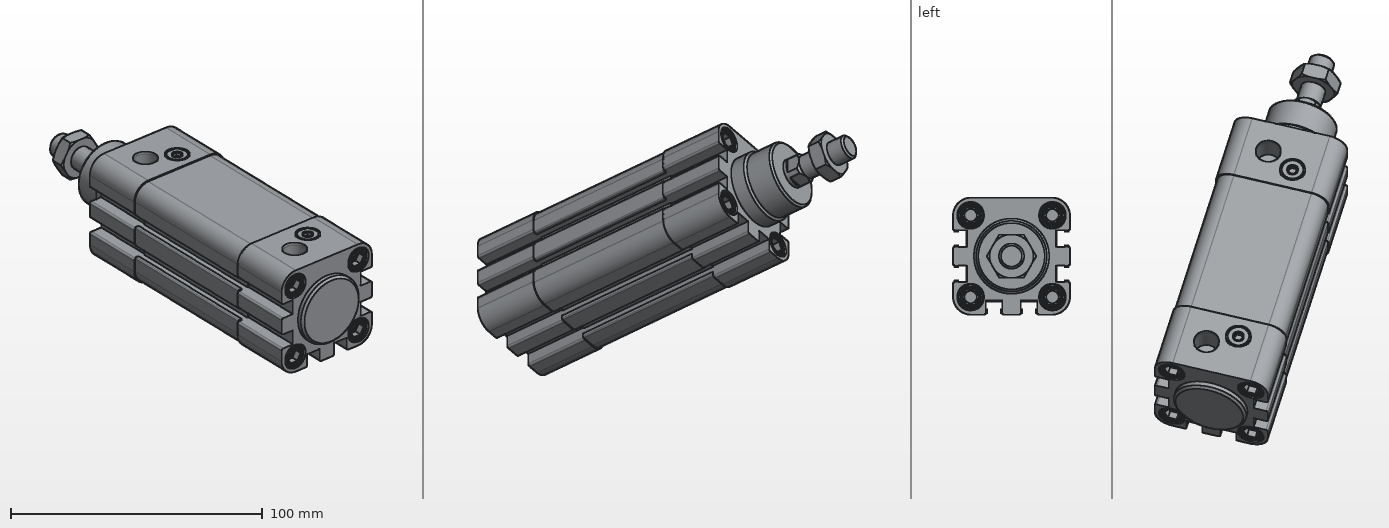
import cadquery as cq
import math


total_length = 170.0
cap_front = 47.8
cap_length = 27.5
rear_flange_length = 2.9
cap_rear = total_length - rear_flange_length
body_middle = (cap_front + cap_rear) / 2
barrel_front = cap_front + cap_length
barrel_rear = cap_rear - cap_length

cap_width = 46.5
barrel_width = 45.5
corner_radius = 7.3

groove_offset = 7.0
groove_floor = 17.5
cap_groove_width = 6.5
cap_groove_round = 0.8
slot_mouth_width = 5.3
slot_mouth_round = 0.5
slot_inner_width = 6.5
slot_lip = 1.7
slot_floor = 18.0
groove_angles = (90, 180, 270)

collar_diameter = 30.0
collar_front = 40.6
nose_diameter = 28.0
nose_front = 28.7
nose_chamfer = 0.8
collar_chamfer = (collar_diameter - nose_diameter) / 2
flange_chamfer = 1.0

bolt_pitch = 32.5
bolt_hole_diameter = 9.7
bolt_hole_mouth = 10.7
bolt_face_diameter = 8.3
bolt_socket_mouth = 7.1
bolt_socket_mouth_depth = 0.3
bolt_hex = 6.0
bolt_hex_depth = 3.4
bolt_drill_diameter = 5.0
bolt_drill_depth = 4.2
bolt_recess = 0.5

port_mouth = 10.0
port_bore = 9.7
port_mouth_depth = 0.8
port_depth = 10.2
port_from_middle = 46.4
port_y = -5.6
screw_diameter = 10.0
screw_face_diameter = 8.5
screw_socket_mouth = 4.5
screw_socket_mouth_depth = 0.3
screw_hex = 3.2
screw_hex_depth = 1.7
screw_hex_turn = 30
screw_from_middle = 40.6
screw_y = 6.0

rod_diameter = 12.0
rod_end = cap_front
thread_diameter = 10.0
thread_end = 21.6
tip_chamfer = 0.8
shoulder_chamfer = (rod_diameter - thread_diameter) / 2
wrench_width = 10.0
wrench_end = 27.2

nut_front = 7.8
nut_thickness = 6.1
nut_width = 17.0
nut_chamfer_diameter = 17.3


def hex_corner_diameter(width):
    """Diameter across the corners of a hexagon of the given width across flats."""
    return width / math.cos(math.pi / 6)


def disc(diameter, start, end):
    """Cylinder on the X axis."""
    return cq.Workplane("YZ", origin=(start, 0, 0)).circle(diameter / 2).extrude(end - start)


def rounded_bar(width, start, end):
    """Square bar along X with rounded long edges."""
    bar = cq.Workplane("YZ", origin=(start, 0, 0)).rect(width, width).extrude(end - start)
    return bar.edges("|X").fillet(corner_radius - (cap_width - width) / 2)


def groove_cutter(groove):
    """Copies of one groove on the X axis facing +Z, placed as pairs on the grooved sides."""
    cutter = cq.Workplane("XY")
    for angle in groove_angles:
        for offset in (-groove_offset, groove_offset):
            cutter = cutter.add(groove.translate((0, offset, 0)).rotate((0, 0, 0), (1, 0, 0), angle))
    return cutter.combine()


def rounded_mouth_groove(width, mouth_round, floor, surface, start, end):
    """Straight groove facing +Z whose two mouth edges are rounded."""
    half = width / 2
    bend = mouth_round * (1 - math.sqrt(0.5))
    mouth_half = half + mouth_round
    return (
        cq.Workplane("YZ", origin=(start, 0, 0))
        .moveTo(-half, floor)
        .lineTo(half, floor)
        .lineTo(half, surface - mouth_round)
        .threePointArc((half + bend, surface - bend), (mouth_half, surface))
        .lineTo(-mouth_half, surface)
        .threePointArc((-half - bend, surface - bend), (-half, surface - mouth_round))
        .close()
        .extrude(end - start)
    )


def make_barrel():
    """Barrel with slots that widen behind a lip."""
    surface = barrel_width / 2
    length = barrel_rear - barrel_front
    mouth = rounded_mouth_groove(
        slot_mouth_width, slot_mouth_round, slot_floor, surface, barrel_front, barrel_rear
    )
    undercut = cq.Workplane("XY").box(
        length, slot_inner_width, surface - slot_lip - slot_floor, centered=(False, True, False)
    )
    slot = mouth.union(undercut.translate((barrel_front, 0, slot_floor)))
    return rounded_bar(barrel_width, barrel_front, barrel_rear).cut(groove_cutter(slot))


def bolt_cutter():
    """Ring gap and hexagon socket of one bolt head, opening at X = 0 and going to +X."""
    hole_radius = bolt_hole_diameter / 2
    face_radius = bolt_face_diameter / 2
    mouth_radius = bolt_hole_mouth / 2
    mouth_depth = mouth_radius - hole_radius
    head_chamfer = hole_radius - face_radius
    recess = (
        cq.Workplane("XY")
        .moveTo(0, 0)
        .lineTo(0, mouth_radius)
        .lineTo(mouth_depth, hole_radius)
        .lineTo(bolt_recess + head_chamfer, hole_radius)
        .lineTo(bolt_recess, face_radius)
        .lineTo(bolt_recess, 0)
        .close()
        .revolve(360, (0, 0, 0), (1, 0, 0))
    )
    socket_end = bolt_recess + bolt_hex_depth
    socket = cq.Workplane("YZ").polygon(6, hex_corner_diameter(bolt_hex)).extrude(socket_end)
    drill = disc(bolt_drill_diameter, 0, bolt_recess + bolt_drill_depth)
    mouth = disc(bolt_socket_mouth, 0, bolt_recess + bolt_socket_mouth_depth)
    return recess.union(mouth).union(socket).union(drill)


def screw_cutter():
    """V groove and hexagon socket of one cushion screw, opening at Z = 0 and going down."""
    outer = screw_diameter / 2
    inner = screw_face_diameter / 2
    groove = (
        cq.Workplane("XZ")
        .moveTo(inner, 0)
        .lineTo(outer, 0)
        .lineTo(outer, inner - outer)
        .close()
        .revolve(360, (0, 0, 0), (0, 1, 0))
    )
    socket = cq.Workplane("XY").polygon(6, hex_corner_diameter(screw_hex)).extrude(-screw_hex_depth)
    mouth = cq.Workplane("XY").circle(screw_socket_mouth / 2).extrude(-screw_socket_mouth_depth)
    return groove.union(mouth).union(socket.rotate((0, 0, 0), (0, 0, 1), screw_hex_turn))


def port_cutter():
    """Air port with a tapered mouth, opening at Z = 0 and going down."""
    bore = cq.Workplane("XY").circle(port_bore / 2).extrude(-port_depth)
    mouth = cq.Workplane("XY").circle(port_mouth / 2).workplane(offset=-port_mouth_depth)
    return bore.union(mouth.circle(port_bore / 2).loft())


def make_front_cap():
    """End cap with grooves, corner bolts, air port and cushion screw."""
    top = cap_width / 2
    groove = rounded_mouth_groove(
        cap_groove_width, cap_groove_round, groove_floor, top, cap_front, barrel_front
    )
    cap = rounded_bar(cap_width, cap_front, barrel_front)
    cap = cap.cut(groove_cutter(groove))
    for y in (-bolt_pitch / 2, bolt_pitch / 2):
        for z in (-bolt_pitch / 2, bolt_pitch / 2):
            cap = cap.cut(bolt_cutter().translate((cap_front, y, z)))
    cap = cap.cut(port_cutter().translate((body_middle - port_from_middle, port_y, top)))
    return cap.cut(screw_cutter().translate((body_middle - screw_from_middle, screw_y, top)))


def make_housing():
    """Barrel, two mirrored caps, front nose with collar and rear flange, bored for the rod."""
    front_cap = make_front_cap()
    rear_cap = front_cap.mirror("YZ", (body_middle, 0, 0))
    nose = disc(nose_diameter, nose_front, collar_front).faces("<X").chamfer(nose_chamfer)
    collar = disc(collar_diameter, collar_front, cap_front).faces("<X").chamfer(collar_chamfer)
    flange = disc(collar_diameter, cap_rear, total_length).faces(">X").chamfer(flange_chamfer)
    housing = make_barrel().union(front_cap).union(rear_cap).union(nose).union(collar).union(flange)
    return housing.cut(disc(rod_diameter, nose_front, rod_end))


def make_nut():
    """Hexagon nut with its corners chamfered on both faces."""
    nut_rear = nut_front + nut_thickness
    corner_diameter = hex_corner_diameter(nut_width)
    nut = cq.Workplane("YZ", origin=(nut_front, 0, 0)).polygon(6, corner_diameter).extrude(nut_thickness)
    chamfer = (corner_diameter - nut_chamfer_diameter) / 2
    envelope = disc(corner_diameter, nut_front, nut_rear).faces("<X or >X").chamfer(chamfer / 2, chamfer)
    return nut.intersect(envelope)


def make_rod():
    """Piston rod with its thread, four wrench flats and the nut."""
    thread = disc(thread_diameter, 0, thread_end).faces("<X").chamfer(tip_chamfer)
    shank = disc(rod_diameter, thread_end, rod_end).faces("<X").chamfer(shoulder_chamfer)
    blank = disc(rod_diameter, thread_end, wrench_end)
    square = cq.Workplane("YZ").rect(wrench_width, wrench_width).extrude(wrench_end)
    return thread.union(shank.cut(blank.cut(square))).union(make_nut())


housing = make_housing()
piston_rod = make_rod()

result = cq.Compound.makeCompound([housing.val(), piston_rod.val()])